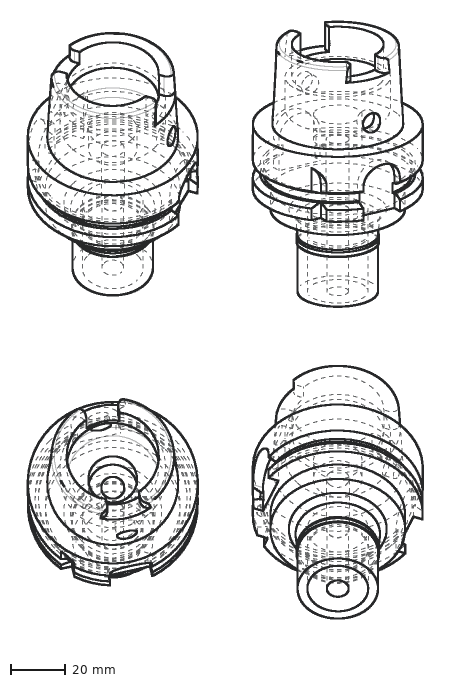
import cadquery as cq
import math


TOTAL_HEIGHT = 99.0
GAUGE_FACE_Z = 67.0
FLANGE_BOTTOM_Z = 41.0
COLLAR_BOTTOM_Z = 33.0
NECK_TOP_Z = 30.3
NECK_BOTTOM_Z = 22.9
NUT_HEIGHT = 22.0

SHANK_BASE_RADIUS = 24.3
SHANK_TAPER = 1 / 20
SHANK_RIM_FILLET = 1.1
SHANK_HEIGHT = TOTAL_HEIGHT - GAUGE_FACE_Z
SHANK_TOP_RADIUS = SHANK_BASE_RADIUS - SHANK_HEIGHT * SHANK_TAPER
CROSS_HOLE_DIAMETER = 7.5
CROSS_HOLE_Z = 75.9

MOUTH_RADIUS = 17.0
MOUTH_DEPTH = 13.0
CHAMBER_RADIUS = 19.5
CHAMBER_DEPTH = 28.1
CHAMBER_FLOOR_FILLET = 2.5
TUBE_SEAT_RADIUS = 9.0
TUBE_SEAT_DEPTH = 9.9
COOLANT_RADIUS = 4.3

NOTCH_HALF_WIDTH = 6.2
NOTCH_CORNER_RADIUS = 3.0
NOTCH_OUTER_X = 20.9
LEFT_NOTCH_DEPTH = 5.9
RIGHT_NOTCH_DEPTH = 10.0

FLANGE_RADIUS = 31.5
GROOVE_RADIUS = 27.5
GROOVE_MIDDLE_Z = 49.1
GROOVE_HALF_WIDTH = 1.9
GROOVE_BEVEL_HEIGHT = 1.6
GROOVE_BEVEL_ANGLE = 30.0
GROOVE_BEVEL_WIDTH = GROOVE_BEVEL_HEIGHT / math.tan(math.radians(GROOVE_BEVEL_ANGLE))

KEYWAY_FLOOR_X = 26.5
KEYWAY_TOP_Z = 62.0
LEFT_KEYWAY_WIDTH = 16.0
RIGHT_KEYWAY_WIDTH = 18.0
ORIENTATION_FLOOR = 20.1
ORIENTATION_WIDTH = 16.0
ORIENTATION_TOP_Z = 62.9

COLLAR_RADIUS = 24.9
SHOULDER_RADIUS = 18.1
NECK_TOP_RADIUS = 15.6
NECK_BOTTOM_RADIUS = 15.0

COLLET_RADIUS = 11.3
COLLET_BORE_RADIUS = 4.1
COLLET_TOP_Z = COLLAR_BOTTOM_Z
NUT_RADIUS = 14.9
NUT_RIM_RADIUS = 15.3
NUT_RIM_HEIGHT = 1.9


def vertical_cylinder(radius, bottom_z, top_z):
    return cq.Workplane("XY").workplane(offset=bottom_z).circle(radius).extrude(top_z - bottom_z)


def make_holder_blank():
    """Turned outside of the holder, without hollow or milled features."""
    lower_groove_z = GROOVE_MIDDLE_Z - GROOVE_HALF_WIDTH
    upper_groove_z = GROOVE_MIDDLE_Z + GROOVE_HALF_WIDTH
    bevel_inner_radius = FLANGE_RADIUS - GROOVE_BEVEL_WIDTH
    outline = [
        (0, NECK_BOTTOM_Z),
        (NECK_BOTTOM_RADIUS, NECK_BOTTOM_Z),
        (NECK_TOP_RADIUS, NECK_TOP_Z),
        (SHOULDER_RADIUS, COLLAR_BOTTOM_Z),
        (COLLAR_RADIUS, COLLAR_BOTTOM_Z),
        (COLLAR_RADIUS, FLANGE_BOTTOM_Z),
        (FLANGE_RADIUS, FLANGE_BOTTOM_Z),
        (FLANGE_RADIUS, lower_groove_z - GROOVE_BEVEL_HEIGHT),
        (bevel_inner_radius, lower_groove_z),
        (GROOVE_RADIUS, lower_groove_z),
        (GROOVE_RADIUS, upper_groove_z),
        (bevel_inner_radius, upper_groove_z),
        (FLANGE_RADIUS, upper_groove_z + GROOVE_BEVEL_HEIGHT),
        (FLANGE_RADIUS, GAUGE_FACE_Z),
        (SHANK_BASE_RADIUS, GAUGE_FACE_Z),
        (SHANK_TOP_RADIUS, TOTAL_HEIGHT),
        (0, TOTAL_HEIGHT),
    ]
    blank = cq.Workplane("YZ").polyline(outline).close().revolve(360, (0, 0), (0, 1))
    return blank.faces(">Z").edges().fillet(SHANK_RIM_FILLET)


def make_hollow():
    """Space inside the holder: mouth, chamber, tube seat, coolant hole and collet socket."""
    chamber_floor_z = TOTAL_HEIGHT - CHAMBER_DEPTH
    mouth_bottom_z = TOTAL_HEIGHT - MOUTH_DEPTH
    chamber = vertical_cylinder(CHAMBER_RADIUS, chamber_floor_z, mouth_bottom_z)
    chamber = chamber.faces("<Z").edges().fillet(CHAMBER_FLOOR_FILLET)
    mouth = vertical_cylinder(MOUTH_RADIUS, mouth_bottom_z, TOTAL_HEIGHT)
    tube_seat = vertical_cylinder(TUBE_SEAT_RADIUS, chamber_floor_z - TUBE_SEAT_DEPTH, chamber_floor_z)
    coolant_hole = vertical_cylinder(COOLANT_RADIUS, COLLET_TOP_Z, chamber_floor_z)
    collet_socket = vertical_cylinder(COLLET_RADIUS, NECK_BOTTOM_Z, COLLET_TOP_Z)
    return chamber.union(mouth).union(tube_seat).union(coolant_hole).union(collet_socket)


def make_cross_hole():
    """Hole along X through both walls of the shank."""
    return (
        cq.Workplane("YZ")
        .center(0, CROSS_HOLE_Z)
        .circle(CROSS_HOLE_DIAMETER / 2)
        .extrude(SHANK_BASE_RADIUS, both=True)
    )


def make_drive_notch(side, depth):
    """Rim notch that opens towards side * X, with rounded outer corners."""
    corner_x = NOTCH_OUTER_X - NOTCH_CORNER_RADIUS
    corner_y = NOTCH_HALF_WIDTH + NOTCH_CORNER_RADIUS
    corner_reach = NOTCH_CORNER_RADIUS * math.sqrt(0.5)
    arc_middle_x = corner_x + corner_reach
    arc_middle_y = corner_y - corner_reach
    clear_x = SHANK_BASE_RADIUS
    clear_y = NOTCH_HALF_WIDTH * 2
    return (
        cq.Workplane("XY")
        .workplane(offset=TOTAL_HEIGHT - depth)
        .moveTo(0, -NOTCH_HALF_WIDTH)
        .lineTo(side * corner_x, -NOTCH_HALF_WIDTH)
        .threePointArc((side * arc_middle_x, -arc_middle_y), (side * NOTCH_OUTER_X, -corner_y))
        .lineTo(side * NOTCH_OUTER_X, -clear_y)
        .lineTo(side * clear_x, -clear_y)
        .lineTo(side * clear_x, clear_y)
        .lineTo(side * NOTCH_OUTER_X, clear_y)
        .lineTo(side * NOTCH_OUTER_X, corner_y)
        .threePointArc((side * arc_middle_x, arc_middle_y), (side * corner_x, NOTCH_HALF_WIDTH))
        .lineTo(0, NOTCH_HALF_WIDTH)
        .close()
        .extrude(depth)
    )


def make_flange_slot(side, width, middle_y, floor_x, top_z):
    """Round-topped slot, open at the flange underside, cut in along X down to floor_x."""
    radius = width / 2
    return (
        cq.Workplane("YZ")
        .workplane(offset=side * floor_x)
        .moveTo(middle_y - radius, FLANGE_BOTTOM_Z)
        .lineTo(middle_y - radius, top_z - radius)
        .threePointArc((middle_y, top_z), (middle_y + radius, top_z - radius))
        .lineTo(middle_y + radius, FLANGE_BOTTOM_Z)
        .close()
        .extrude(side * (FLANGE_RADIUS - floor_x))
    )


def make_holder():
    orientation_y = ORIENTATION_FLOOR + ORIENTATION_WIDTH / 2
    cuts = [
        make_hollow(),
        make_cross_hole(),
        make_drive_notch(-1, LEFT_NOTCH_DEPTH),
        make_drive_notch(1, RIGHT_NOTCH_DEPTH),
        make_flange_slot(-1, LEFT_KEYWAY_WIDTH, 0, KEYWAY_FLOOR_X, KEYWAY_TOP_Z),
        make_flange_slot(1, RIGHT_KEYWAY_WIDTH, 0, KEYWAY_FLOOR_X, KEYWAY_TOP_Z),
        make_flange_slot(-1, ORIENTATION_WIDTH, orientation_y, ORIENTATION_FLOOR, ORIENTATION_TOP_Z),
    ]
    holder = make_holder_blank()
    for cut in cuts:
        holder = holder.cut(cut)
    return holder


def make_collet():
    """Bored cylinder that bridges the gap between the holder and the nut."""
    collet = vertical_cylinder(COLLET_RADIUS, 0, COLLET_TOP_Z)
    return collet.cut(vertical_cylinder(COLLET_BORE_RADIUS, 0, COLLET_TOP_Z))


def make_nut():
    """Sleeve round the lower part of the collet, with a low rim at its top."""
    body = vertical_cylinder(NUT_RADIUS, 0, NUT_HEIGHT)
    rim = vertical_cylinder(NUT_RIM_RADIUS, NUT_HEIGHT - NUT_RIM_HEIGHT, NUT_HEIGHT)
    return body.union(rim).cut(vertical_cylinder(COLLET_RADIUS, 0, NUT_HEIGHT))


holder = make_holder()
collet = make_collet()
nut = make_nut()

result = cq.Compound.makeCompound([holder.val(), collet.val(), nut.val()])